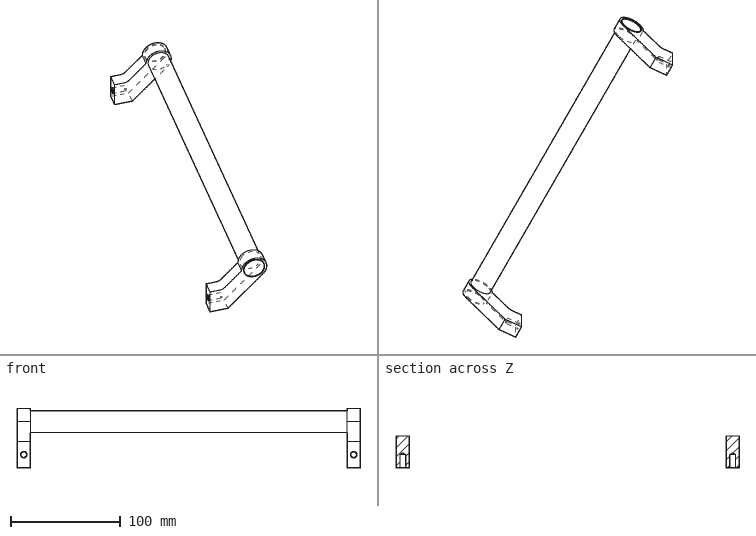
import cadquery as cq
import math


mount_spacing = 300.0
bracket_width = 12.0
bar_diameter = 20.0
hub_diameter = 24.0
mount_offset_y = 42.0
foot_bottom_drop = 42.0
foot_height = 24.0
crank_fillet = 6.0
hole_diameter = 5.0
hole_depth = 12.0
drill_point_angle = 118.0
hole_mouth_diameter = 6.0
groove_width = 0.3
groove_depth = 0.5

overall_length = mount_spacing + bracket_width
hub_radius = hub_diameter / 2
foot_top_drop = foot_bottom_drop - foot_height
hole_drop = foot_bottom_drop - foot_height / 2
upper_corner_y = -hub_radius - foot_top_drop
mouth_chamfer = (hole_mouth_diameter - hole_diameter) / 2
drill_tip_length = hole_diameter / 2 / math.tan(math.radians(drill_point_angle / 2))


def bracket_profile(x_start):
    """Side outline in the YZ plane: hub, 45 degree arm and upright foot."""
    tangent = hub_radius * math.sqrt(0.5)
    lower_corner_y = 2 * tangent - foot_bottom_drop
    return (
        cq.Workplane("YZ", origin=(x_start, 0, 0))
        .moveTo(-hub_radius, 0)
        .threePointArc((tangent, tangent), (tangent, -tangent))
        .lineTo(lower_corner_y, -foot_bottom_drop)
        .lineTo(-mount_offset_y, -foot_bottom_drop)
        .lineTo(-mount_offset_y, -foot_top_drop)
        .lineTo(upper_corner_y, -foot_top_drop)
        .close()
    )


def mounting_hole(x_middle):
    """Blind drilled hole with a 45 degree chamfered mouth and a conical bottom."""
    bore_radius = hole_diameter / 2
    return (
        cq.Workplane("XY", origin=(x_middle, -mount_offset_y, -hole_drop))
        .lineTo(hole_mouth_diameter / 2, 0)
        .lineTo(bore_radius, mouth_chamfer)
        .lineTo(bore_radius, hole_depth)
        .lineTo(0, hole_depth + drill_tip_length)
        .close()
        .revolve(360, (0, 0, 0), (0, 1, 0))
    )


def bracket(x_middle):
    """One end bracket centred on x_middle."""
    body = bracket_profile(x_middle - bracket_width / 2).extrude(bracket_width)
    upper_corner = (x_middle, upper_corner_y, -foot_top_drop)
    body = body.edges(cq.selectors.NearestToPointSelector(upper_corner)).fillet(crank_fillet)
    return body.cut(mounting_hole(x_middle))


def end_groove():
    """Shallow ring groove around the bar end in the outer face at -X."""
    return (
        cq.Workplane("YZ", origin=(-overall_length / 2, 0, 0))
        .circle(bar_diameter / 2)
        .circle(bar_diameter / 2 - groove_width)
        .extrude(groove_depth)
    )


def bar():
    """Round bar running through both brackets to their outer faces."""
    return (
        cq.Workplane("YZ", origin=(-overall_length / 2, 0, 0))
        .circle(bar_diameter / 2)
        .extrude(overall_length)
    )


handrail = bar()
for side in (-1, 1):
    handrail = handrail.union(bracket(side * mount_spacing / 2))

left_groove = end_groove()
right_groove = left_groove.mirror("YZ")
result = handrail.cut(left_groove).cut(right_groove)